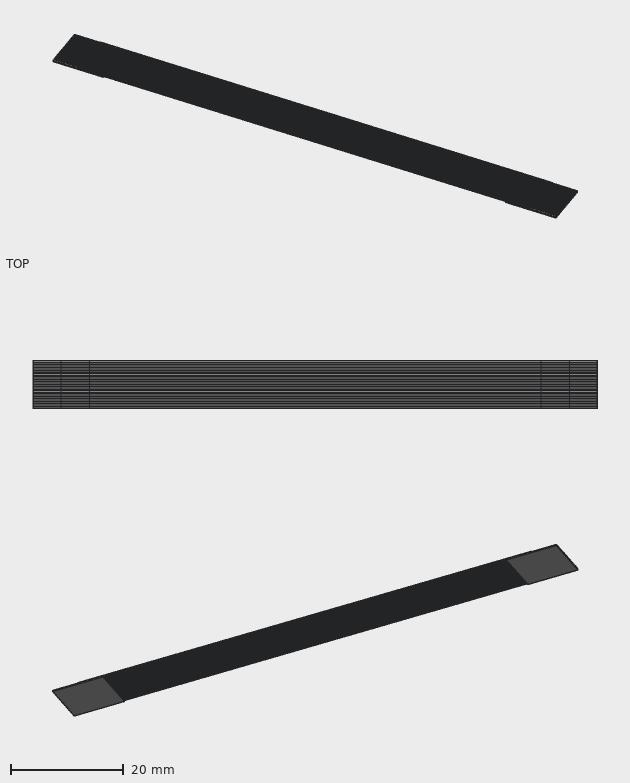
import cadquery as cq

length = 100.0
width = 8.5
total_thickness = 0.36

pitch = 0.5
conductor_count = 16
conductor_width = 0.3
conductor_thickness = 0.05

cover_thickness = 0.05
base_thickness = 0.05
exposed_length = 5.0
stiffener_length = 10.0

cover_top_z = total_thickness
conductor_top_z = cover_top_z - cover_thickness
conductor_bottom_z = conductor_top_z - conductor_thickness
base_bottom_z = conductor_bottom_z - base_thickness


def layer(layer_length, layer_width, bottom_z, top_z, center_x=0.0, center_y=0.0):
    """Flat rectangular layer between two heights."""
    return (
        cq.Workplane("XY", origin=(center_x, center_y, bottom_z))
        .rect(layer_length, layer_width)
        .extrude(top_z - bottom_z)
    )


result = layer(length, width, base_bottom_z, conductor_bottom_z)

stiffener_center_x = (length - stiffener_length) / 2
for side in (-1, 1):
    stiffener = layer(stiffener_length, width, 0.0, base_bottom_z, center_x=side * stiffener_center_x)
    result = result.union(stiffener)

first_conductor_y = -(conductor_count - 1) * pitch / 2
for index in range(conductor_count):
    conductor_y = first_conductor_y + index * pitch
    conductor = layer(length, conductor_width, conductor_bottom_z, conductor_top_z, center_y=conductor_y)
    result = result.union(conductor)

cover_length = length - 2 * exposed_length
result = result.union(layer(cover_length, width, conductor_top_z, cover_top_z))